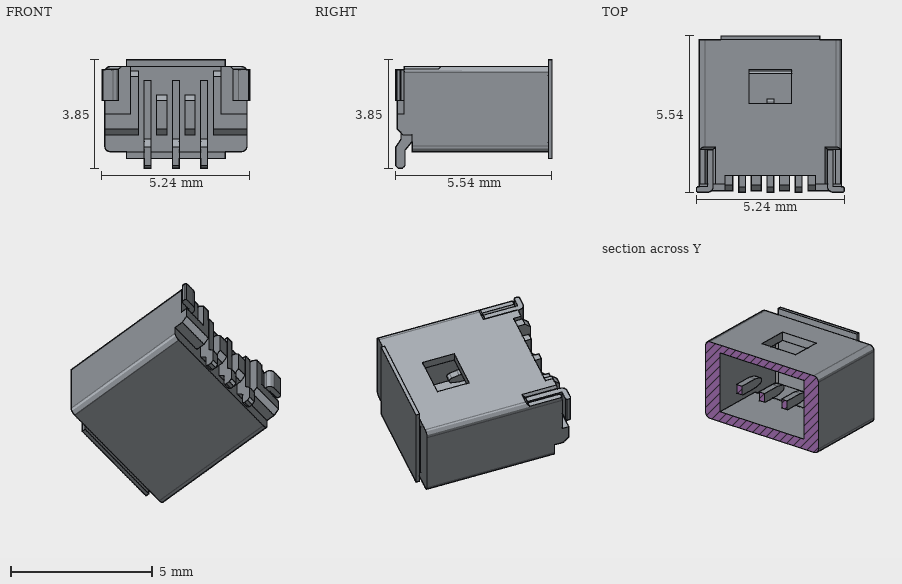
import cadquery as cq
import math


housing_width = 5.04
housing_height = 3.02
housing_length = 4.82
edge_radius = 0.205
half_width = housing_width / 2
top_z = housing_height / 2

cavity_width = 3.71
cavity_length = 3.99
roof_thickness = 0.325
cavity_height = housing_height - 2 * roof_thickness
floor_step_y = -1.115
floor_step_height = 0.085

window_width = 1.5
window_front_y = -1.05
window_length = 1.2

rear_y = -housing_length
corner_block_y = -5.11
corner_block_inner_x = 1.6
corner_block_bottom_z = -0.165
pad_y = -5.355
pad_bottom_z = -0.91
pad_chamfer = 0.205
bracket_inner_x = 1.33
bracket_top_z = 1.35
rib_width = 0.365
rib_top_z = 0.505

pin_count = 3
pin_pitch = 1.0
pin_width = 0.25
pin_top_z = 1.015
pin_tip_y = -2.11
pin_nose_radius = 0.12
pin_nose_taper = 12
pin_taper_length = 0.275
pin_upright_y = -5.22
pin_tail_back_y = -5.405
pin_tail_front_y = -5.07
pin_bend_top_z = -1.065
pin_bend_bottom_z = -1.345
pin_inner_bend_top_z = -1.145
pin_inner_bend_bottom_z = -1.45
pin_bottom_z = -2.1
pin_end_chamfer = 0.1

clip_thickness = 0.2
clip_inner_x = 2.02
clip_outer_x = clip_inner_x + clip_thickness
clip_foot_end_x = 2.62
clip_back_y = pin_tail_back_y
clip_foot_front_y = clip_back_y + clip_thickness
clip_front_y = -3.905
clip_top_z = 1.395
clip_height = 1.09
clip_end_chamfer = 0.045

pocket_depth = 0.09
lead_in_size = 0.09
slot_front_y = -3.89

film_size = 3.5
film_thickness = 0.135


def box(x_range, y_range, z_range):
    """Axis-aligned box from the two ends of each side."""
    (x0, x1), (y0, y1), (z0, z1) = x_range, y_range, z_range
    return cq.Workplane("XY").box(x1 - x0, y1 - y0, z1 - z0, centered=False).translate((x0, y0, z0))


def side_profile(points, x_start, width):
    """Outline in (y, z), extruded along +X from x_start."""
    return cq.Workplane("YZ", origin=(x_start, 0, 0)).polyline(points).close().extrude(width)


def both_sides(shape):
    """The shape together with its mirror image across the middle plane."""
    return shape.union(shape.mirror("YZ"))


def rounded_bar(length):
    """Bar with the rounded outline of the housing, from the mating face to -Y."""
    return (
        cq.Workplane("XZ")
        .rect(housing_width, housing_height)
        .extrude(length)
        .edges("|Y")
        .fillet(edge_radius)
    )


def corner_blocks():
    """Upper rear corners that carry the clips."""
    zone = box(
        (corner_block_inner_x, half_width),
        (corner_block_y, rear_y),
        (corner_block_bottom_z, top_z),
    )
    return rounded_bar(-corner_block_y).intersect(both_sides(zone))


def chamfered_pad(x_start, width, z_top):
    """Upright pad on the rear face, chamfered at its top and bottom."""
    points = [
        (rear_y, pad_bottom_z),
        (pad_y + pad_chamfer, pad_bottom_z),
        (pad_y, pad_bottom_z + pad_chamfer),
        (pad_y, z_top - pad_chamfer),
        (pad_y + pad_chamfer, z_top),
        (rear_y, z_top),
    ]
    return side_profile(points, x_start, width)


def bracket():
    """L-shaped pad: an upright leg, and a foot that runs out to the side wall."""
    leg = chamfered_pad(bracket_inner_x, corner_block_inner_x - bracket_inner_x, bracket_top_z)
    foot_points = [
        (rear_y, pad_bottom_z),
        (pad_y + pad_chamfer, pad_bottom_z),
        (pad_y, pad_bottom_z + pad_chamfer),
        (pad_y, corner_block_bottom_z),
        (rear_y, corner_block_bottom_z),
    ]
    return leg.union(side_profile(foot_points, bracket_inner_x, half_width - bracket_inner_x))


def cavity():
    """Opening in the mating face, with a sloped step up to its floor behind the entry."""
    ceiling_z = cavity_height / 2
    floor_z = -ceiling_z
    points = [
        (0, ceiling_z),
        (0, floor_z),
        (floor_step_y, floor_z),
        (floor_step_y - floor_step_height, floor_z + floor_step_height),
        (-cavity_length, floor_z + floor_step_height),
        (-cavity_length, ceiling_z),
    ]
    return side_profile(points, -cavity_width / 2, cavity_width)


def window():
    """Rectangular opening through the roof into the cavity."""
    return box(
        (-window_width / 2, window_width / 2),
        (window_front_y - window_length, window_front_y),
        (0, top_z),
    )


def clip_pocket():
    """Recess around a clip, open to the side and the rear: flat floor, sloped inner and front walls."""
    floor_z = top_z - pocket_depth
    rear_end = corner_block_y - pocket_depth
    outer_x = half_width + pocket_depth
    recess = (
        cq.Workplane("XY", origin=(outer_x, rear_end, floor_z))
        .rect(clip_inner_x - outer_x, slot_front_y - rear_end, centered=False)
        .workplane(offset=pocket_depth)
        .rect(clip_inner_x - pocket_depth - outer_x, slot_front_y + pocket_depth - rear_end, centered=False)
        .loft(ruled=True)
    )
    slot = box(
        (clip_inner_x, clip_outer_x),
        (rear_end, slot_front_y),
        (clip_top_z - clip_height, floor_z),
    )
    lead_in = (
        cq.Workplane("XZ", origin=(0, slot_front_y, 0))
        .moveTo(clip_outer_x, floor_z)
        .lineTo(clip_outer_x + lead_in_size, floor_z)
        .lineTo(clip_outer_x, floor_z - lead_in_size)
        .close()
        .extrude(slot_front_y - rear_end)
    )
    return recess.union(slot).union(lead_in)


def pin(x):
    """Contact: tapered beam with a round nose, upright on the rear face, and a cranked tail."""
    taper = math.radians(pin_nose_taper)
    nose_y = pin_tip_y - pin_nose_radius
    nose_end_y = nose_y + pin_nose_radius * math.sin(taper)
    nose_end_z = pin_nose_radius * math.cos(taper)
    beam_y = nose_end_y - pin_taper_length
    beam_top = nose_end_z + pin_taper_length * math.tan(taper)
    outline = (
        cq.Workplane("YZ", origin=(x - pin_width / 2, 0, 0))
        .moveTo(rear_y, -beam_top)
        .lineTo(beam_y, -beam_top)
        .lineTo(nose_end_y, -nose_end_z)
        .threePointArc((pin_tip_y, 0), (nose_end_y, nose_end_z))
        .lineTo(beam_y, beam_top)
        .lineTo(rear_y, beam_top)
        .lineTo(rear_y, pin_top_z)
        .lineTo(pin_upright_y, pin_top_z)
        .lineTo(pin_upright_y, pin_bend_top_z)
        .lineTo(pin_tail_back_y, pin_bend_bottom_z)
        .lineTo(pin_tail_back_y, pin_bottom_z + pin_end_chamfer)
        .lineTo(pin_tail_back_y + pin_end_chamfer, pin_bottom_z)
        .lineTo(pin_tail_front_y - pin_end_chamfer, pin_bottom_z)
        .lineTo(pin_tail_front_y, pin_bottom_z + pin_end_chamfer)
        .lineTo(pin_tail_front_y, pin_inner_bend_bottom_z)
        .lineTo(rear_y, pin_inner_bend_top_z)
        .close()
    )
    return outline.extrude(pin_width)


def clip():
    """L-shaped solder clip: a leg in the slot, and a foot bent outward behind the housing."""
    bend_radius = clip_thickness
    return (
        cq.Workplane("XY", origin=(0, 0, clip_top_z - clip_height))
        .moveTo(clip_inner_x, clip_front_y)
        .lineTo(clip_inner_x, clip_back_y + bend_radius)
        .radiusArc((clip_inner_x + bend_radius, clip_back_y), -bend_radius)
        .lineTo(clip_foot_end_x - clip_end_chamfer, clip_back_y)
        .lineTo(clip_foot_end_x, clip_back_y + clip_end_chamfer)
        .lineTo(clip_foot_end_x, clip_foot_front_y - clip_end_chamfer)
        .lineTo(clip_foot_end_x - clip_end_chamfer, clip_foot_front_y)
        .lineTo(clip_outer_x, clip_foot_front_y)
        .lineTo(clip_outer_x, clip_front_y)
        .close()
        .extrude(clip_height)
    )


def build_connector():
    """Housing in one piece with its pins and clips."""
    body = rounded_bar(housing_length).union(corner_blocks())
    body = body.union(both_sides(bracket()))
    body = body.union(both_sides(chamfered_pad((pin_pitch - rib_width) / 2, rib_width, rib_top_z)))
    body = body.cut(cavity()).cut(window()).cut(both_sides(clip_pocket()))
    body = body.union(both_sides(clip()))
    for index in range(pin_count):
        body = body.union(pin((index - (pin_count - 1) / 2) * pin_pitch))
    return body


def build_film():
    """Square film that covers the middle of the mating face."""
    return cq.Workplane("XZ").rect(film_size, film_size).extrude(-film_thickness)


connector = build_connector()
film = build_film()

result = cq.Compound.makeCompound([connector.val(), film.val()])